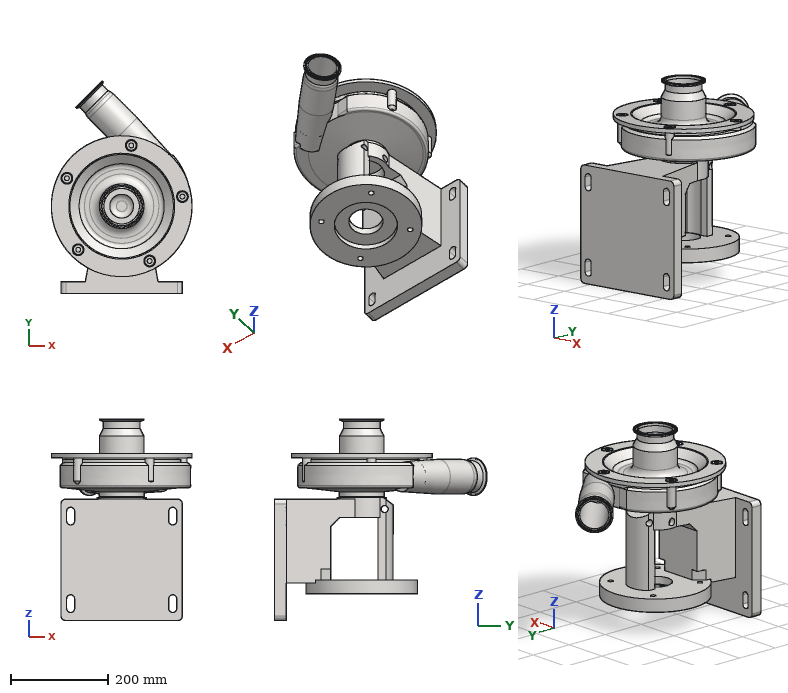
import cadquery as cq
import math

overall_height = 415.0

plate_size = 250.0
plate_thickness = 25.0
plate_back_y = -180.0
plate_front_y = plate_back_y + plate_thickness
plate_corner_radius = 10.0
slot_length = 36.0
slot_width = 16.0
slot_pitch_x = 210.0
slot_pitch_z = 180.0

motor_flange_radius = 115.0
motor_flange_top_z = 84.0
motor_flange_thickness = 29.0
motor_flange_bore_radius = 35.0
motor_spigot_radius = 65.0
motor_spigot_depth = 12.5
motor_bolt_offset = 65.0
motor_bolt_diameter = 11.0
arm_half_width_at_plate = 75.0
arm_half_width_at_axis = 46.5
arm_bottom_z = 77.0
window_top_z = 212.0
window_back_y = -63.5
window_chamfer_y = 18.0
window_chamfer_z = 18.5
hub_radius = 51.0
hub_top_z = 253.0
hub_bore_radius = 38.0
pillar_half_width = 35.0
pillar_inner_y = 33.0
pillar_corner_y = 50.2
pillar_outer_y = 64.7
pillar_chamfer_y = 20.0
pillar_chamfer_z = 15.0
pillar_hole_y = 47.0
pillar_hole_z = 229.5
pillar_hole_diameter = 14.0
hub_hole_z = 225.5
hub_hole_diameter = 15.5
relief_depth = 20.5
relief_height = 22.0

neck_radius = 46.5
casing_bottom_z = 273.0
casing_top_z = 325.0
casing_edge_fillet = 5.0
casing_edge_chamfer = 6.0
casing_drum_radius = 118.0
casing_ring_radius = 121.5
casing_ring_top_z = 331.0
volute_start_angle = 110.0
volute_end_angle = 405.0
volute_left_radius = 126.8
volute_linear_growth = 2.4
volute_square_growth = 2.6
volute_points = 12
neck_top_z = 265.0
seal_groove_radius = 44.5
seal_groove_top_z = 255.0

cover_radius = 145.0
cover_top_z = 344.0
cover_thickness = 9.0
cover_bottom_z = cover_top_z - cover_thickness
spigot_radius = 116.0
dish_rim_radius = 109.0
dish_rim_land = 2.5
dish_rim_drop = 1.0
dish_cone_radius = 87.5
dish_cone_z = 326.5
dish_floor_radius = 76.5
dish_floor_z = 320.0
dish_inner_radius = 66.0
inlet_body_radius = 46.0
inlet_body_top_z = 379.5
inlet_neck_radius = 38.1
inlet_neck_bottom_z = 395.0
inlet_bore_radius = 36.5
inlet_bore_depth = 38.5
inlet_rim_radius = 45.5
rim_thickness = 2.85
rim_taper = 3.0
inlet_groove_radius = 41.5
outlet_groove_radius = 34.5
groove_width = 2.5
groove_depth = 1.2
bowl_radius = 24.5
bowl_floor_radius = 11.0
bowl_depth = 20.0

screw_count = 5
screw_start_angle = 9.0
screw_circle_radius = 126.5
screw_recess_radius = 12.0
screw_recess_depth = 3.0
screw_head_radius = 10.0
screw_socket_radius = 5.0
screw_socket_depth = 2.0
post_radius = 9.5
post_bottom_z = 281.0
post_chamfer = 6.0

outlet_offset = 115.4
outlet_center_z = 296.0
outlet_end = 210.6
outlet_rim_radius = 38.75
outlet_neck_radius = 33.0
outlet_neck_start = 188.0
outlet_shoulder_radius = 35.0
outlet_shoulder_start = 183.0
outlet_pipe_radius = 36.0
outlet_pipe_end = 175.0
outlet_pipe_start = 106.0
outlet_throat_radius = 31.0
outlet_bore_radius = 30.1
outlet_bore_depth = 170.0


def cylinder(radius, bottom, top, x=0.0, y=0.0):
    return cq.Workplane("XY", origin=(x, y, bottom)).circle(radius).extrude(top - bottom)


def revolved(profile):
    """Turn a closed (radius, height) profile about the Z axis."""
    return cq.Workplane("XZ").polyline(profile).close().revolve(360, (0, 0), (0, 1))


def box(x0, x1, y0, y1, z0, z1):
    return cq.Workplane("XY").box(x1 - x0, y1 - y0, z1 - z0, centered=False).translate((x0, y0, z0))


def mounting_plate():
    plate = box(-plate_size / 2, plate_size / 2, plate_back_y, plate_front_y, 0, plate_size)
    plate = plate.edges("|Y").fillet(plate_corner_radius)
    slots = (
        cq.Workplane("XZ", origin=(0, plate_front_y, plate_size / 2))
        .rarray(slot_pitch_x, slot_pitch_z, 2, 2)
        .slot2D(slot_length, slot_width, 90)
        .extrude(plate_thickness)
    )
    return plate.cut(slots)


def motor_flange():
    bottom = motor_flange_top_z - motor_flange_thickness
    flange = cylinder(motor_flange_radius, bottom, motor_flange_top_z)
    flange = flange.cut(cylinder(motor_flange_bore_radius, bottom, motor_flange_top_z))
    flange = flange.cut(cylinder(motor_spigot_radius, bottom, bottom + motor_spigot_depth))
    for x in (-motor_bolt_offset, motor_bolt_offset):
        for y in (-motor_bolt_offset, motor_bolt_offset):
            flange = flange.cut(cylinder(motor_bolt_diameter / 2, bottom, motor_flange_top_z, x, y))
    return flange


def arm():
    """Tapered arm from the plate to the hub, with the open window below the hub."""
    plan = [
        (-arm_half_width_at_plate, plate_front_y),
        (arm_half_width_at_plate, plate_front_y),
        (arm_half_width_at_axis, 0),
        (-arm_half_width_at_axis, 0),
    ]
    body = cq.Workplane("XY").polyline(plan).close().extrude(plate_size)
    side = [
        (plate_front_y, arm_bottom_z),
        (window_back_y, arm_bottom_z),
        (window_back_y, window_top_z - window_chamfer_z),
        (window_back_y + window_chamfer_y, window_top_z),
        (0, window_top_z),
        (0, plate_size),
        (plate_front_y, plate_size),
    ]
    reach = cq.Workplane("YZ").polyline(side).close().extrude(arm_half_width_at_plate, both=True)
    body = body.intersect(reach)

    relief_back_y = window_back_y - relief_depth
    taper = (arm_half_width_at_plate - arm_half_width_at_axis) / -plate_front_y
    outer_x = arm_half_width_at_axis - taper * relief_back_y
    for side_sign in (-1, 1):
        corner = [
            (side_sign * outer_x, relief_back_y),
            (side_sign * outer_x, window_back_y),
            (side_sign * (outer_x - relief_depth), window_back_y),
        ]
        relief = cq.Workplane("XY", origin=(0, 0, motor_flange_top_z)).polyline(corner).close()
        body = body.cut(relief.extrude(relief_height))
    return body


def pillar():
    """Upright between motor flange and hub on the side away from the plate."""
    body = (
        cq.Workplane("XY", origin=(0, 0, motor_flange_top_z))
        .moveTo(-pillar_half_width, pillar_inner_y)
        .lineTo(-pillar_half_width, pillar_corner_y)
        .threePointArc((0, pillar_outer_y), (pillar_half_width, pillar_corner_y))
        .lineTo(pillar_half_width, pillar_inner_y)
        .close()
        .extrude(hub_top_z - motor_flange_top_z)
    )
    chamfer = [
        (pillar_outer_y, hub_top_z - pillar_chamfer_z),
        (pillar_outer_y, hub_top_z),
        (pillar_outer_y - pillar_chamfer_y, hub_top_z),
    ]
    corner = cq.Workplane("YZ").polyline(chamfer).close().extrude(pillar_half_width, both=True)
    return body.cut(corner)


def bracket():
    hub = cylinder(hub_radius, window_top_z, hub_top_z)
    body = hub.union(arm()).union(pillar())
    body = body.cut(cylinder(hub_bore_radius, motor_flange_top_z, hub_top_z))
    side_hole = cq.Workplane("YZ", origin=(-hub_radius, 0, hub_hole_z)).circle(hub_hole_diameter / 2)
    body = body.cut(side_hole.extrude(hub_radius))
    cross_hole = (
        cq.Workplane("YZ", origin=(0, pillar_hole_y, pillar_hole_z))
        .circle(pillar_hole_diameter / 2)
        .extrude(pillar_half_width, both=True)
    )
    body = body.cut(cross_hole)
    return body.union(motor_flange()).union(mounting_plate())


def volute_point(fraction):
    angle = volute_start_angle + fraction * (volute_end_angle - volute_start_angle)
    quarters = (angle - 180) / 90
    radius = volute_left_radius + volute_linear_growth * quarters + volute_square_growth * quarters**2
    return radius * math.cos(math.radians(angle)), radius * math.sin(math.radians(angle))


def casing():
    spiral = [volute_point(i / volute_points) for i in range(volute_points + 1)]
    volute = (
        cq.Workplane("XY", origin=(0, 0, casing_bottom_z))
        .spline(spiral)
        .close()
        .extrude(casing_top_z - casing_bottom_z)
        .faces("<Z")
        .edges()
        .fillet(casing_edge_fillet)
        .faces(">Z")
        .edges()
        .chamfer(casing_edge_chamfer)
    )
    drum = revolved([
        (0, hub_top_z),
        (seal_groove_radius, hub_top_z),
        (seal_groove_radius, seal_groove_top_z),
        (neck_radius, seal_groove_top_z),
        (neck_radius, neck_top_z),
        (casing_drum_radius, casing_bottom_z),
        (casing_drum_radius, casing_top_z - casing_edge_chamfer),
        (casing_ring_radius, casing_top_z - casing_edge_chamfer),
        (casing_ring_radius, casing_ring_top_z),
        (spigot_radius, casing_ring_top_z),
        (spigot_radius, cover_bottom_z),
        (0, cover_bottom_z),
    ])
    return volute.union(drum)


def screw_places():
    for i in range(screw_count):
        angle = math.radians(screw_start_angle + i * 360 / screw_count)
        yield screw_circle_radius * math.cos(angle), screw_circle_radius * math.sin(angle)


def cover():
    """Cover flange with the inlet pipe, and the dish to cut from it."""
    plate = cylinder(cover_radius, cover_bottom_z, cover_top_z)
    inlet_rim_z = overall_height - rim_thickness
    fillet_top_z = dish_floor_z + dish_inner_radius - inlet_body_radius
    inlet = revolved([
        (0, dish_floor_z),
        (inlet_body_radius, dish_floor_z),
        (inlet_body_radius, inlet_body_top_z),
        (inlet_neck_radius, inlet_neck_bottom_z),
        (inlet_neck_radius, inlet_rim_z - rim_taper),
        (inlet_rim_radius, inlet_rim_z),
        (inlet_rim_radius, overall_height),
        (0, overall_height),
    ])
    arc_reach = (dish_inner_radius - inlet_body_radius) * (1 - math.sqrt(0.5))
    wall_mid = (
        (dish_cone_radius + dish_floor_radius) / 2 + 1,
        (dish_cone_z + dish_floor_z) / 2 - 2,
    )
    dish = (
        cq.Workplane("XZ")
        .moveTo(dish_rim_radius, cover_top_z)
        .lineTo(dish_rim_radius - dish_rim_land, cover_top_z - dish_rim_drop)
        .lineTo(dish_cone_radius, dish_cone_z)
        .threePointArc(wall_mid, (dish_floor_radius, dish_floor_z))
        .lineTo(dish_inner_radius, dish_floor_z)
        .threePointArc(
            (inlet_body_radius + arc_reach, dish_floor_z + arc_reach),
            (inlet_body_radius, fillet_top_z),
        )
        .lineTo(inlet_body_radius, cover_top_z)
        .close()
        .revolve(360, (0, 0), (0, 1))
    )
    return plate.union(inlet), dish


def cover_screws(body):
    """Recessed socket screws on top of the cover and round posts below it."""
    recess_z = cover_top_z - screw_recess_depth
    for x, y in screw_places():
        post = cylinder(post_radius, post_bottom_z, cover_bottom_z, x, y)
        body = body.union(post.faces("<Z").chamfer(post_chamfer))
        body = body.cut(cylinder(screw_recess_radius, recess_z, cover_top_z, x, y))
        head = cylinder(screw_head_radius, recess_z, cover_top_z, x, y)
        socket = cylinder(screw_socket_radius, cover_top_z - screw_socket_depth, cover_top_z, x, y)
        body = body.union(head.cut(socket))
    return body


def seal_groove(radius, face_z):
    """Ring to cut into a clamp rim whose face lies at face_z."""
    ring = cylinder(radius + groove_width / 2, face_z - groove_depth, face_z)
    return ring.cut(cylinder(radius - groove_width / 2, face_z - groove_depth, face_z))


def inlet_bore():
    """Inlet bore that ends in a flat shoulder around a rounded bowl."""
    shoulder_z = overall_height - inlet_bore_depth
    bowl = cylinder(bowl_radius, shoulder_z - bowl_depth, shoulder_z)
    bowl = bowl.faces("<Z").edges().fillet(bowl_radius - bowl_floor_radius)
    bore = cylinder(inlet_bore_radius, shoulder_z, overall_height)
    return bore.union(bowl).union(seal_groove(inlet_groove_radius, overall_height))


def outlet_placed(shape):
    """Move a shape turned about Z so that it points along the outlet pipe."""
    foot = outlet_offset * math.sqrt(0.5)
    return shape.rotate((0, 0, 0), (1, 0, 0), -90).rotate((0, 0, 0), (0, 0, 1), 45).translate(
        (foot, foot, outlet_center_z)
    )


def outlet_pipe():
    rim_start = outlet_end - rim_thickness
    return outlet_placed(revolved([
        (0, 0),
        (outlet_throat_radius, 0),
        (outlet_pipe_radius, outlet_pipe_start),
        (outlet_pipe_radius, outlet_pipe_end),
        (outlet_shoulder_radius, outlet_shoulder_start),
        (outlet_neck_radius, outlet_neck_start),
        (outlet_neck_radius, rim_start - rim_taper),
        (outlet_rim_radius, rim_start),
        (outlet_rim_radius, outlet_end),
        (0, outlet_end),
    ]))


def outlet_bore():
    bore = cylinder(outlet_bore_radius, outlet_end - outlet_bore_depth, outlet_end)
    return outlet_placed(bore.union(seal_groove(outlet_groove_radius, outlet_end)))


cover_body, cover_dish = cover()
pump = casing().union(outlet_pipe()).union(cover_body)
pump = cover_screws(pump.cut(cover_dish))
pump = pump.cut(inlet_bore()).cut(outlet_bore())
result = pump.union(bracket())